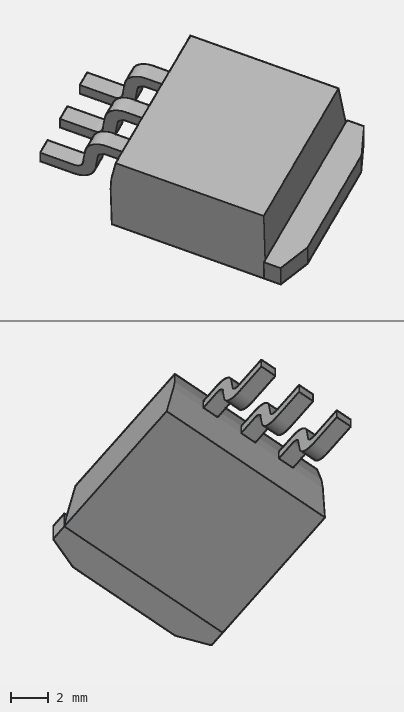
import cadquery as cq
import math

total_length = 15.87
total_width = 10.66
total_height = 4.59

lead_count = 3
lead_pitch = 2.54
lead_width = 0.95
lead_thickness = 0.75
lead_top = 3.32
foot_length = 2.0
inner_bend_radius = 0.5
bend_angle = 83.0

housing_front_x = 5.05
housing_rear_x = 14.17
front_top_setback = 0.19
front_bottom_setback = 0.2
rear_top_setback = 0.25
housing_top_width = 9.59

tab_thickness = 1.4
tab_corner_length = 0.71
tab_corner_width = 1.89


def make_housing():
    """Side profile with a vertical band at the leads, trimmed by the tapered side walls."""
    top_front_x = housing_front_x + front_top_setback
    bottom_front_x = housing_front_x + front_bottom_setback
    side_profile = (
        cq.Workplane("XZ")
        .moveTo(bottom_front_x, 0)
        .lineTo(housing_rear_x, 0)
        .lineTo(housing_rear_x, tab_thickness)
        .lineTo(housing_rear_x - rear_top_setback, total_height)
        .lineTo(top_front_x, total_height)
        .lineTo(housing_front_x, lead_top)
        .lineTo(housing_front_x, lead_top - lead_thickness)
        .close()
        .extrude(total_width / 2, both=True)
    )
    end_profile = (
        cq.Workplane("YZ")
        .moveTo(-total_width / 2, 0)
        .lineTo(total_width / 2, 0)
        .lineTo(housing_top_width / 2, total_height)
        .lineTo(-housing_top_width / 2, total_height)
        .close()
        .extrude(total_length)
    )
    return side_profile.intersect(end_profile)


def make_tab():
    """Flat plate behind the housing with its two rear corners cut off."""
    half_width = total_width / 2
    rear_half_width = half_width - tab_corner_width
    corner_x = total_length - tab_corner_length
    return (
        cq.Workplane("XY")
        .moveTo(housing_rear_x, -half_width)
        .lineTo(corner_x, -half_width)
        .lineTo(total_length, -rear_half_width)
        .lineTo(total_length, rear_half_width)
        .lineTo(corner_x, half_width)
        .lineTo(housing_rear_x, half_width)
        .close()
        .extrude(tab_thickness)
    )


def make_lead(center_y):
    """Rectangular strip swept along a gull-wing centreline of two equal bends."""
    bend_radius = inner_bend_radius + lead_thickness / 2
    angle = math.radians(bend_angle)
    foot_z = lead_thickness / 2
    shoulder_z = lead_top - lead_thickness / 2

    bend_run = bend_radius * math.sin(angle)
    bend_rise = bend_radius * (1 - math.cos(angle))
    shank_rise = shoulder_z - foot_z - 2 * bend_rise
    shank_run = shank_rise / math.tan(angle)

    shank_start = (foot_length + bend_run, foot_z + bend_rise)
    shank_end = (shank_start[0] + shank_run, shank_start[1] + shank_rise)
    shoulder_start = (shank_end[0] + bend_run, shoulder_z)

    centreline = (
        cq.Workplane("XZ", origin=(0, center_y, 0))
        .moveTo(0, foot_z)
        .lineTo(foot_length, foot_z)
        .tangentArcPoint(shank_start, relative=False)
        .lineTo(*shank_end)
        .tangentArcPoint(shoulder_start, relative=False)
        .lineTo(housing_front_x, shoulder_z)
    )
    return (
        cq.Workplane("YZ", origin=(0, center_y, foot_z))
        .rect(lead_width, lead_thickness)
        .sweep(centreline)
    )


housing = make_housing()
tab = make_tab()
leads = []
for index in range(lead_count):
    lead_y = (index - (lead_count - 1) / 2) * lead_pitch
    leads.append(make_lead(lead_y).val())

result = cq.Compound.makeCompound([housing.val(), tab.val(), *leads])